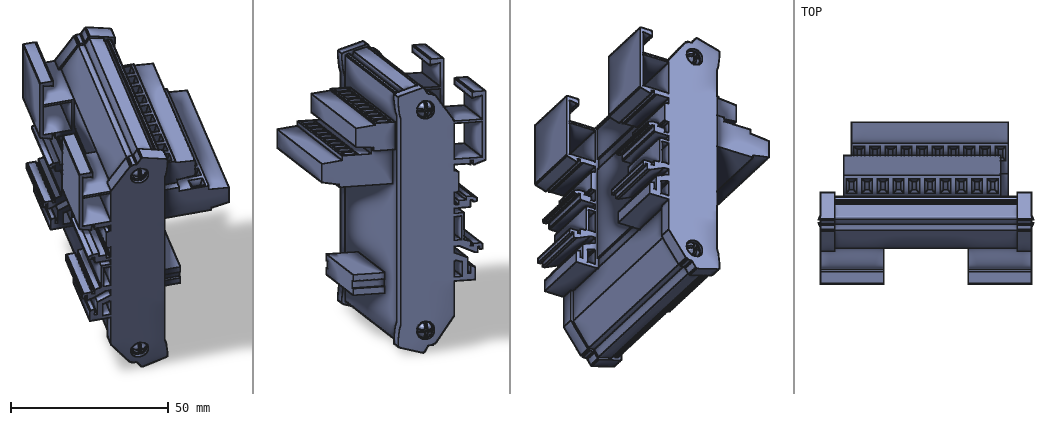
import cadquery as cq
import math


MODULE_LENGTH = 67.2
PLATE_THICKNESS = 4.6
PLATE_FRONT_Y = 17.8
CARRIER_REAR_Y = 0.85
CARRIER_FRONT_Y = 17.5
SLOPE_END_Z = 31.9

GROOVE_INNER_Z = 16.75
GROOVE_OUTER_Z = 20.6
GROOVE_DEPTH = 0.5

SCREW_Y = 9.5
SCREW_Z = 36.1
SCREW_HOLE_RADIUS = 2.9
SCREW_HOLE_DEPTH = 2.1
SCREW_HEAD_RADIUS = 2.7
SCREW_PROTRUSION = 0.718
SCREW_SLOT_WIDTH = 0.9
SCREW_SLOT_FLOOR_DEPTH = 1.4

FOOT_WIDTH = 20.2
FOOT_TOP_Z = 31.8
FOOT_BOTTOM_Z = -20.6
FOOT_REAR_Y = -10.5
FOOT_ROOT_Y = CARRIER_REAR_Y + GROOVE_DEPTH + 0.1
RAIL_WALL_Y = -9.3
FRAME_WALL_Y = -2.4
FRAME_REAR_Y = -3.25

POLE_COUNT = 10
POLE_PITCH = 5.0
BLOCK_LENGTH = POLE_COUNT * POLE_PITCH
BLOCK_STAGGER = POLE_PITCH / 4
BLOCK_SPLIT_Z = 22.0
BLOCK_STEP_Y = 24.6
LOWER_BLOCK_FRONT_Y = 41.06
LOWER_SHELF_Z = 20.5
LOWER_POCKET_Y = 31.1
UPPER_BLOCK_FRONT_Y = 30.5
UPPER_SHELF_Z = 31.0
UPPER_POCKET_Y = 20.8

POCKET_MOUTH = (3.4, 4.6)
POCKET_FLOOR = (1.4, 2.6)
POCKET_DEPTH = 2.0

HEADER_LENGTH = 30.0
HEADER_FRONT_Y = 28.1
HEADER_TOP_Z = -20.85
HEADER_BOTTOM_Z = -27.55
HEADER_NOTCH_TOP_Z = -22.95
HEADER_NOTCH_BOTTOM_Z = -25.4
HEADER_NOTCH_DEPTH = 1.0


def extrude_yz(points, x_start, length):
    """Extrude a closed (y, z) outline along +X."""
    return cq.Workplane("YZ").workplane(offset=x_start).polyline(points).close().extrude(length)


def box_between(x_range, y_range, z_range):
    """Box spanning the given (low, high) ranges."""
    (x0, x1), (y0, y1), (z0, z1) = x_range, y_range, z_range
    return cq.Workplane("XY").box(x1 - x0, y1 - y0, z1 - z0, centered=False).translate((x0, y0, z0))


def with_mirrored_half(upper_points):
    """Close an upper half outline with its mirror image below z = 0."""
    return upper_points + [(y, -z) for y, z in reversed(upper_points)]


def make_end_plate(x_start):
    upper_half = [
        (PLATE_FRONT_Y, 33.7),
        (18.3, 35.4),
        (18.7, 39.0),
        (18.7, 40.85),
        (18.0, 41.24),
        (10.35, 43.435),
        (9.9, 43.15),
        (8.7, 41.3),
        (8.3, 41.05),
        (7.0, 41.05),
        (6.8, 40.65),
        (6.3, 40.65),
        (0, SLOPE_END_Z),
    ]
    return extrude_yz(with_mirrored_half(upper_half), x_start, PLATE_THICKNESS)


def make_carrier():
    upper_half = [
        (CARRIER_FRONT_Y, 40.2),
        (17.2, 40.5),
        (16.4, 40.8),
        (16.0, 40.5),
        (15.5, 39.6),
        (15.1, 39.6),
        (14.9, 41.45),
        (11.15, 42.4),
        (10.8, 42.5),
        (10.2, 42.5),
        (8.6, 40.25),
        (6.6, 40.25),
        (CARRIER_REAR_Y, SLOPE_END_Z),
    ]
    half_length = MODULE_LENGTH / 2 - PLATE_THICKNESS
    carrier = extrude_yz(with_mirrored_half(upper_half), -half_length, 2 * half_length)
    for low_z in (GROOVE_INNER_Z, -GROOVE_OUTER_Z):
        carrier = carrier.cut(
            box_between(
                (-half_length, half_length),
                (CARRIER_REAR_Y, CARRIER_REAR_Y + GROOVE_DEPTH),
                (low_z, low_z + GROOVE_OUTER_Z - GROOVE_INNER_Z),
            )
        )
    return carrier


def make_screw_hole(z, side):
    """Round hole sunk into the outer face of the end plate on the given side (-1 or +1)."""
    start = side * MODULE_LENGTH / 2
    hole = cq.Workplane("YZ").workplane(offset=start).center(SCREW_Y, z).circle(SCREW_HOLE_RADIUS)
    return hole.extrude(-side * SCREW_HOLE_DEPTH)


def make_screw_head(z, side):
    """Domed, cross-slotted head standing on the floor of its hole."""
    floor_x = MODULE_LENGTH / 2 - SCREW_HOLE_DEPTH
    crown_x = MODULE_LENGTH / 2 + SCREW_PROTRUSION
    slot_floor_x = MODULE_LENGTH / 2 - SCREW_SLOT_FLOOR_DEPTH
    crown_radius = crown_x - floor_x
    rim_x = math.sqrt(crown_radius**2 - SCREW_HEAD_RADIUS**2)
    arc_middle = crown_radius * math.sqrt(0.5)
    head = (
        cq.Workplane("XY")
        .lineTo(0, SCREW_HEAD_RADIUS)
        .lineTo(rim_x, SCREW_HEAD_RADIUS)
        .threePointArc((arc_middle, arc_middle), (crown_radius, 0))
        .close()
        .revolve(360, (0, 0), (1, 0))
    )
    slot_half = SCREW_SLOT_WIDTH / 2
    slot_x = (slot_floor_x - floor_x, crown_radius)
    across = (-SCREW_HOLE_RADIUS, SCREW_HOLE_RADIUS)
    narrow = (-slot_half, slot_half)
    head = head.cut(box_between(slot_x, across, narrow)).cut(box_between(slot_x, narrow, across))
    if side < 0:
        head = head.mirror("YZ")
    return head.translate((side * floor_x, SCREW_Y, z))


def rail_hook_outline():
    """Upper hook that grips the rail, with a closed box at its root."""
    return [
        (FOOT_ROOT_Y, FOOT_TOP_Z),
        (RAIL_WALL_Y, FOOT_TOP_Z),
        (RAIL_WALL_Y, 39.5),
        (-6.6, 39.1),
        (-6.0, 38.8),
        (-6.0, 40.8),
        (-6.5, 41.0),
        (-10.3, 41.0),
        (FOOT_REAR_Y, 40.8),
        (FOOT_REAR_Y, 18.7),
        (-10.3, 18.3),
        (-7.0, 17.25),
        (-6.6, 17.0),
        (-6.35, 17.2),
        (-6.35, 18.5),
        (-5.4, 18.5),
        (-5.4, 17.15),
        (-4.4, 17.5),
        (FOOT_ROOT_Y, 17.5),
    ]


def rail_pad_outline():
    """Low pad below the hook."""
    return [
        (FOOT_ROOT_Y, 15.5),
        (-0.5, 15.5),
        (-1.53, 14.95),
        (-1.53, 8.8),
        (-1.05, 8.5),
        (FOOT_ROOT_Y, 8.5),
    ]


def upper_latch_outline():
    """Short barbed latch in the middle of the foot."""
    return [
        (FOOT_ROOT_Y, 4.8),
        (0, 4.8),
        (-0.45, 4.4),
        (-1.4, 4.4),
        (-1.4, 5.73),
        (-3.9, 5.73),
        (-3.9, 6.85),
        (-6.0, 6.85),
        (-7.6, 6.1),
        (-7.6, 5.4),
        (-7.3, 5.0),
        (-6.3, 5.0),
        (-6.1, 5.5),
        (-5.4, 5.5),
        (-5.4, 3.6),
        (-5.1, 3.25),
        (FOOT_ROOT_Y, 3.25),
    ]


def spring_arm_outline():
    """Boxed frame that ends in an inclined arm with a curled tip."""
    return [
        (FOOT_ROOT_Y, 1.6),
        (FRAME_REAR_Y, 1.6),
        (FRAME_REAR_Y, -7.1),
        (-3.55, -7.4),
        (-5.4, -7.85),
        (-5.4, -9.45),
        (-6.25, -9.45),
        (-6.25, -8.65),
        (-9.0, -8.65),
        (-9.4, -9.0),
        (-9.4, -10.7),
        (-8.5, -10.7),
        (-8.5, -9.8),
        (-7.8, -9.8),
        (-7.8, -11.65),
        (-6.9, -11.65),
        (-1.7, -9.25),
        (FOOT_ROOT_Y, -9.25),
    ]


def release_lug_outline():
    """Boxed lug at the lower end of the foot, with a slot behind its lip."""
    return [
        (FOOT_ROOT_Y, -11.3),
        (0, -11.3),
        (-4.5, -13.2),
        (-4.5, -18.3),
        (-5.4, -18.3),
        (-5.4, -15.9),
        (-6.7, -16.25),
        (-6.95, -16.6),
        (-6.95, FOOT_BOTTOM_Z),
        (FOOT_ROOT_Y, FOOT_BOTTOM_Z),
    ]


def foot_windows():
    """Openings through the three boxed parts of the foot."""
    hook_window = [(0, 31.0), (RAIL_WALL_Y, 31.0), (RAIL_WALL_Y, 19.35), (0, 19.35)]
    frame_window = [(0, 0.5), (FRAME_WALL_Y, 0.5), (FRAME_WALL_Y, -7.2), (0, -7.2)]
    lug_window = [(0, -14.1), (-0.5, -13.8), (-2.7, -14.5), (-2.7, -19.2), (0, -19.2)]
    return (hook_window, frame_window, lug_window)


def make_rail_foot(x_start):
    base_outline = [
        (FOOT_ROOT_Y, FOOT_TOP_Z),
        (0, FOOT_TOP_Z),
        (0, FOOT_BOTTOM_Z),
        (FOOT_ROOT_Y, FOOT_BOTTOM_Z),
    ]
    foot = extrude_yz(base_outline, x_start, FOOT_WIDTH)
    outlines = (
        rail_hook_outline(),
        rail_pad_outline(),
        upper_latch_outline(),
        spring_arm_outline(),
        release_lug_outline(),
    )
    for outline in outlines:
        foot = foot.union(extrude_yz(outline, x_start, FOOT_WIDTH))
    for window in foot_windows():
        foot = foot.cut(extrude_yz(window, x_start, FOOT_WIDTH))
    return foot


def cut_wire_pockets(block, x_start, pocket_y, shelf_z):
    """Sink one tapered pocket per pole into the block's upper shelf."""
    for pole in range(POLE_COUNT):
        pocket = (
            cq.Workplane("XY")
            .rect(*POCKET_FLOOR)
            .workplane(offset=POCKET_DEPTH)
            .rect(*POCKET_MOUTH)
            .loft(ruled=True)
            .translate((x_start + (pole + 0.5) * POLE_PITCH, pocket_y, shelf_z - POCKET_DEPTH))
        )
        block = block.cut(pocket)
    return block


def make_lower_terminal_block():
    outline = [
        (CARRIER_FRONT_Y, 10.27),
        (35.25, 10.27),
        (35.25, 11.1),
        (LOWER_BLOCK_FRONT_Y, 12.2),
        (LOWER_BLOCK_FRONT_Y, 18.3),
        (34.35, 19.0),
        (34.35, LOWER_SHELF_Z),
        (BLOCK_STEP_Y, LOWER_SHELF_Z),
        (BLOCK_STEP_Y, BLOCK_SPLIT_Z),
        (CARRIER_FRONT_Y, BLOCK_SPLIT_Z),
    ]
    x_start = BLOCK_STAGGER - BLOCK_LENGTH / 2
    block = extrude_yz(outline, x_start, BLOCK_LENGTH)
    return cut_wire_pockets(block, x_start, LOWER_POCKET_Y, LOWER_SHELF_Z)


def make_upper_terminal_block():
    outline = [
        (CARRIER_FRONT_Y, BLOCK_SPLIT_Z),
        (BLOCK_STEP_Y, BLOCK_SPLIT_Z),
        (BLOCK_STEP_Y, 23.1),
        (UPPER_BLOCK_FRONT_Y, 23.7),
        (UPPER_BLOCK_FRONT_Y, 29.8),
        (24.1, 30.45),
        (24.1, UPPER_SHELF_Z),
        (CARRIER_FRONT_Y, UPPER_SHELF_Z),
    ]
    x_start = -BLOCK_STAGGER - BLOCK_LENGTH / 2
    block = extrude_yz(outline, x_start, BLOCK_LENGTH)
    return cut_wire_pockets(block, x_start, UPPER_POCKET_Y, UPPER_SHELF_Z)


def make_pin_header():
    half_length = HEADER_LENGTH / 2
    header_y = (CARRIER_FRONT_Y, HEADER_FRONT_Y)
    notch_z = (HEADER_NOTCH_BOTTOM_Z, HEADER_NOTCH_TOP_Z)
    header = box_between((-half_length, half_length), header_y, (HEADER_BOTTOM_Z, HEADER_TOP_Z))
    for notch_start in (-half_length, half_length - HEADER_NOTCH_DEPTH):
        notch_x = (notch_start, notch_start + HEADER_NOTCH_DEPTH)
        header = header.cut(box_between(notch_x, header_y, notch_z))
    return header


module_end_x = MODULE_LENGTH / 2
result = make_carrier()
for plate_start in (-module_end_x, module_end_x - PLATE_THICKNESS):
    result = result.union(make_end_plate(plate_start))
for foot_start in (-module_end_x, module_end_x - FOOT_WIDTH):
    result = result.union(make_rail_foot(foot_start))
result = result.union(make_lower_terminal_block())
result = result.union(make_upper_terminal_block())
result = result.union(make_pin_header())
for screw_side in (-1, 1):
    for screw_z in (-SCREW_Z, SCREW_Z):
        result = result.cut(make_screw_hole(screw_z, screw_side))
        result = result.union(make_screw_head(screw_z, screw_side))